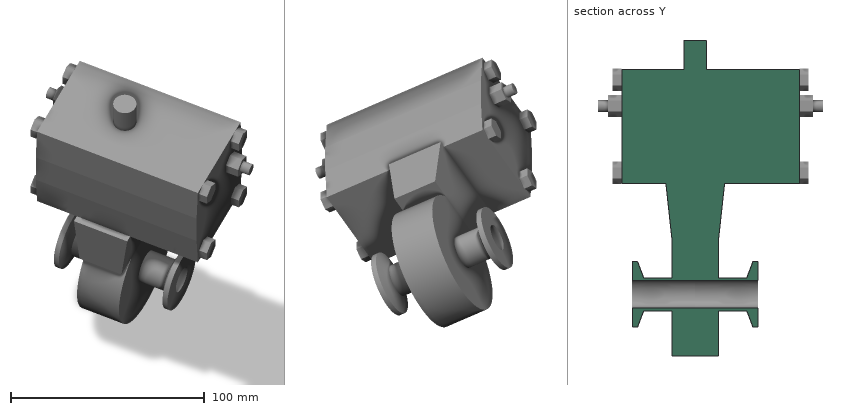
import cadquery as cq
import math


VALVE_DIAMETER = 64.0
VALVE_WIDTH = 24.0
BORE_DIAMETER = 14.0
PIPE_DIAMETER = 17.3
FLANGE_DIAMETER = 34.0
FLANGE_RIM = 2.85
FLANGE_TAPER = 3.15
FACE_TO_FACE = 65.0

BRACKET_BOTTOM = 27.0
BRACKET_HEIGHT = 30.0
BRACKET_DEPTH = 58.0
BRACKET_TOP_WIDTH = 30.5

ACTUATOR_LENGTH = 92.0
ACTUATOR_OFFSET = 8.0
ACTUATOR_HEIGHT = 59.0
ACTUATOR_EDGE_DEPTH = 51.0
ACTUATOR_MIDDLE_DEPTH = 54.0
MIDDLE_BAND_HEIGHT = 19.0

STEM_DIAMETER = 12.0
STEM_HEIGHT = 15.0

HEX_ACROSS_FLATS = 10.0
BOLT_HEAD_HEIGHT = 4.5
BOLT_SPACING_Y = 38.0
BOLT_SPACING_Z = 48.0
FITTING_HEX_HEIGHT = 7.0
FITTING_Y = 13.0
FITTING_ABOVE_MIDDLE = 10.5
FITTING_PIN_DIAMETER = 6.0
FITTING_PIN_LENGTH = 5.0

actuator_bottom = BRACKET_BOTTOM + BRACKET_HEIGHT
actuator_top = actuator_bottom + ACTUATOR_HEIGHT
actuator_middle = actuator_bottom + ACTUATOR_HEIGHT / 2
actuator_start = ACTUATOR_OFFSET - ACTUATOR_LENGTH / 2
actuator_end = ACTUATOR_OFFSET + ACTUATOR_LENGTH / 2
hex_across_corners = HEX_ACROSS_FLATS / math.cos(math.pi / 6)


def make_valve():
    """Round valve body with a pipe and a tapered clamp flange on each side."""
    body = cq.Workplane("YZ").circle(VALVE_DIAMETER / 2).extrude(VALVE_WIDTH / 2, both=True)
    face = FACE_TO_FACE / 2
    rim_back = face - FLANGE_RIM
    taper_back = rim_back - FLANGE_TAPER
    flange_radius = FLANGE_DIAMETER / 2
    pipe_radius = PIPE_DIAMETER / 2
    half_profile = [
        (-face, 0),
        (-face, flange_radius),
        (-rim_back, flange_radius),
        (-taper_back, pipe_radius),
        (taper_back, pipe_radius),
        (rim_back, flange_radius),
        (face, flange_radius),
        (face, 0),
    ]
    pipe = cq.Workplane("XY").polyline(half_profile).close().revolve(360, (0, 0, 0), (1, 0, 0))
    return body.union(pipe)


def cut_bracket_seat(valve):
    """Remove the top of the round valve body, leaving a flat seat for the bracket."""
    cutter = cq.Workplane("XY").workplane(offset=BRACKET_BOTTOM)
    return valve.cut(cutter.rect(VALVE_WIDTH, VALVE_DIAMETER).extrude(VALVE_DIAMETER))


def make_bracket():
    """Bracket that widens from the valve body up to the actuator."""
    profile = [
        (-VALVE_WIDTH / 2, BRACKET_BOTTOM),
        (VALVE_WIDTH / 2, BRACKET_BOTTOM),
        (BRACKET_TOP_WIDTH / 2, actuator_bottom),
        (-BRACKET_TOP_WIDTH / 2, actuator_bottom),
    ]
    return cq.Workplane("XZ").polyline(profile).close().extrude(BRACKET_DEPTH / 2, both=True)


def make_actuator():
    """Eight-sided actuator housing extruded along X."""
    edge = ACTUATOR_EDGE_DEPTH / 2
    middle = ACTUATOR_MIDDLE_DEPTH / 2
    band_bottom = actuator_middle - MIDDLE_BAND_HEIGHT / 2
    band_top = actuator_middle + MIDDLE_BAND_HEIGHT / 2
    profile = [
        (-edge, actuator_bottom),
        (edge, actuator_bottom),
        (middle, band_bottom),
        (middle, band_top),
        (edge, actuator_top),
        (-edge, actuator_top),
        (-middle, band_top),
        (-middle, band_bottom),
    ]
    plane = cq.Workplane("YZ").workplane(offset=actuator_start)
    return plane.polyline(profile).close().extrude(ACTUATOR_LENGTH)


def make_stem():
    """Round indicator stem standing on the actuator."""
    plane = cq.Workplane("XY").workplane(offset=actuator_top)
    return plane.circle(STEM_DIAMETER / 2).extrude(STEM_HEIGHT)


def make_hexes(points, start, height):
    """Hexagonal prisms along X, each with a corner pointing up."""
    plane = cq.Workplane("YZ").workplane(offset=start).pushPoints(points)
    sketch = cq.Sketch().regularPolygon(hex_across_corners / 2, 6)
    return plane.placeSketch(sketch).extrude(height)


def make_end_hardware(end_x, outward):
    """Four bolt heads and one fitting on an actuator end; outward is +1 or -1 along X."""
    bolt_points = [
        (side * BOLT_SPACING_Y / 2, actuator_middle + level * BOLT_SPACING_Z / 2)
        for side in (-1, 1)
        for level in (-1, 1)
    ]
    fitting_point = [(FITTING_Y, actuator_middle + FITTING_ABOVE_MIDDLE)]
    bolts = make_hexes(bolt_points, end_x, outward * BOLT_HEAD_HEIGHT)
    nut = make_hexes(fitting_point, end_x, outward * FITTING_HEX_HEIGHT)
    pin_plane = cq.Workplane("YZ").workplane(offset=end_x).pushPoints(fitting_point)
    pin_length = FITTING_HEX_HEIGHT + FITTING_PIN_LENGTH
    pin = pin_plane.circle(FITTING_PIN_DIAMETER / 2).extrude(outward * pin_length)
    return bolts.union(nut).union(pin)


def make_bore():
    """Flow passage through the whole valve."""
    return cq.Workplane("YZ").circle(BORE_DIAMETER / 2).extrude(FACE_TO_FACE / 2, both=True)


result = cut_bracket_seat(make_valve())
result = result.union(make_bracket()).union(make_actuator()).union(make_stem())
for end_x, outward in ((actuator_start, -1), (actuator_end, 1)):
    result = result.union(make_end_hardware(end_x, outward))
result = result.cut(make_bore())